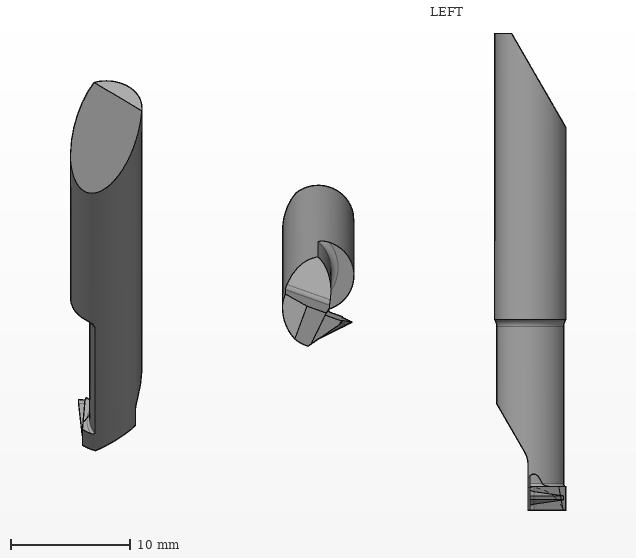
import cadquery as cq
import math

length = 40.0
radius = 3.0
slope_angle = math.radians(30)
top_flat_y = 1.55

neck_offset = 2.06
shoulder_z = 16.0
shoulder_fillet = 0.6
head_top = 2.0
head_fillet = 0.25
end_chamfer = 1.9

back_flat_y = 0.2
back_slope_start_z = 4.4
back_blend = 2.0

edge_x = -2.15
land_y = -0.3
land_x = -2.05
heel_x = -0.18
heel_y = -math.sqrt(radius**2 - heel_x**2)

seat_x = -0.62
seat_slope_y = 0.1
seat_slope_z = 0.11

tooth_tip_x = -radius
tooth_z = 1.05
tooth_tip_half = 0.14
tooth_half_angle = math.radians(30)
tooth_depth = 1.2
tooth_land_x = -2.7
tooth_end_y = -2.8

margin = 4.0


def bar(z_low, z_high):
    return cq.Workplane("XY").workplane(offset=z_low).circle(radius).extrude(z_high - z_low)


def side_profile(points):
    """Y-Z outline extruded right across the bar."""
    return cq.Workplane("YZ").polyline(points).close().extrude(margin, both=True)


def top_slope():
    run = radius + margin + top_flat_y
    low_z = length - run / math.tan(slope_angle)
    rise = margin * math.tan(slope_angle)
    return side_profile([
        (top_flat_y - run, low_z),
        (top_flat_y + rise, length + margin),
        (top_flat_y - run, length + margin),
    ])


def back_relief():
    run = radius + margin - back_flat_y
    slope_end = (back_flat_y + run, back_slope_start_z + run / math.tan(slope_angle))
    relief = side_profile([
        (back_flat_y, -margin),
        (back_flat_y, back_slope_start_z),
        slope_end,
        (slope_end[0], -margin),
    ])
    corner = cq.selectors.NearestToPointSelector((0, back_flat_y, back_slope_start_z))
    return relief.edges(corner).fillet(back_blend)


def neck_relief():
    """Material between the shoulder and head that lies outside the neck cylinder."""
    height = shoulder_z - head_top
    block = cq.Workplane("XY").workplane(offset=head_top).rect(4 * radius, 4 * radius).extrude(height)
    neck = (
        cq.Workplane("XY")
        .workplane(offset=head_top)
        .center(neck_offset, 0)
        .circle(radius)
        .extrude(height)
    )
    neck = neck.union(flare(shoulder_z, shoulder_fillet, -1)).union(flare(head_top, head_fillet, 1))
    left = cq.Workplane("XY").box(2 * margin, 4 * margin, 2 * length).translate((neck_offset - margin, 0, 0))
    return block.cut(neck).intersect(left)


def flare(z, size, direction):
    """Concave fillet ring where the neck meets a level face."""
    inner = (radius, z + direction * size)
    middle_offset = size * (1 - math.sqrt(0.5))
    middle = (radius + middle_offset, z + direction * middle_offset)
    return (
        cq.Workplane("XZ")
        .moveTo(0, z)
        .lineTo(radius + size, z)
        .threePointArc(middle, inner)
        .lineTo(0, inner[1])
        .close()
        .revolve(360, (0, 0, 0), (0, 1, 0))
        .translate((neck_offset, 0, 0))
    )


def head_side_relief():
    """Material to the left of the head's side face."""
    return (
        cq.Workplane("XY")
        .workplane(offset=-margin)
        .polyline([
            (edge_x, margin),
            (edge_x, 0),
            (land_x, land_y),
            (heel_x, heel_y),
            (heel_x, -margin),
            (-2 * margin, -margin),
            (-2 * margin, margin),
        ])
        .close()
        .extrude(margin + head_top)
    )


def end_chamfer_cut():
    return (
        cq.Workplane("XZ")
        .polyline([
            (radius - end_chamfer - margin, -margin),
            (radius + margin, end_chamfer + margin),
            (radius + margin, -margin),
        ])
        .close()
        .extrude(margin, both=True)
    )


def insert_space():
    """Half-space block to the left of the inclined seat plane."""
    plane = cq.Plane(
        origin=(seat_x, 0, 0),
        xDir=(-seat_slope_y, 1, 0),
        normal=(-1, -seat_slope_y, -seat_slope_z),
    )
    return (
        cq.Workplane(plane)
        .rect(4 * margin, 4 * margin)
        .extrude(2 * margin)
        .intersect(bar(-margin, margin))
    )


def tooth_section(tip_x, y):
    root_half = tooth_tip_half + tooth_depth * math.tan(tooth_half_angle)
    root_x = tip_x + tooth_depth
    return cq.Wire.makePolygon([
        cq.Vector(tip_x, y, tooth_z - tooth_tip_half),
        cq.Vector(root_x, y, tooth_z - root_half),
        cq.Vector(root_x, y, tooth_z + root_half),
        cq.Vector(tip_x, y, tooth_z + tooth_tip_half),
    ], close=True)


def make_tooth():
    clearance_slope = (heel_x - tooth_land_x) / (land_y - heel_y)
    end_x = tooth_land_x + clearance_slope * (land_y - tooth_end_y)
    sections = [
        tooth_section(tooth_tip_x, 0),
        tooth_section(tooth_land_x, land_y),
        tooth_section(end_x, tooth_end_y),
    ]
    return cq.Workplane(obj=cq.Solid.makeLoft(sections, True))


tool_blank = (
    bar(0, length)
    .cut(top_slope())
    .cut(neck_relief())
    .cut(head_side_relief())
    .cut(back_relief())
    .cut(end_chamfer_cut())
)

shank = tool_blank.cut(insert_space())

front_half = cq.Workplane("XY").box(4 * margin, 2 * margin, 4 * margin).translate((0, -margin, 0))
tooth = make_tooth()
insert = tool_blank.union(tooth).intersect(front_half).cut(shank)

result = cq.Compound.makeCompound([shank.val(), insert.val()])